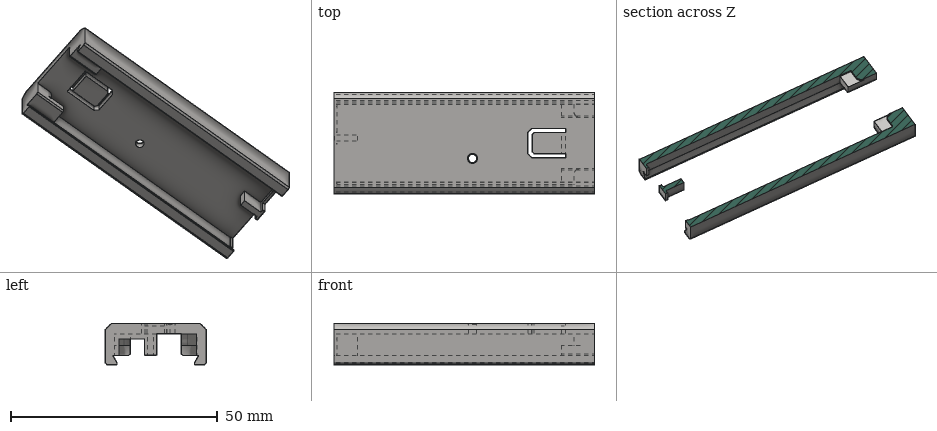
import cadquery as cq
import math

length = 63.0
width = 24.5
height = 10.0
half_width = width / 2
top_chamfer = 1.5
foot_chamfer = 0.5

roof_z = 7.5
wall = 2.25
cavity_half_width = half_width - wall
groove_undercut = 0.35
groove_half_width = cavity_half_width + groove_undercut
groove_top_z = 2.25
lip_reach = 1.0
lip_angle = 60.0
lip_tip_chamfer = 0.15
lip_tip_half_width = groove_half_width - lip_reach
lip_tip_z = groove_top_z - lip_reach * math.tan(math.radians(lip_angle))

plate_thickness = 0.7
rib_y = (-0.25, 2.75)
large_opening_y = -9.8
small_opening_y = 8.85
small_opening_roof_z = 6.2
rib_chamfer = 0.15

divider_inset = 0.75
divider_length = 5.0

block_start_x = 58.0
passage_half_width = 6.15
block_corner_radius = 1.5
rail_start_x = 55.0
rail_top_z = 4.7
rail_chamfer = 0.4

tab_root_x = 56.0
slot_start_x = 46.9
slot_half_width = 3.5
slot_width = 0.9
slot_cross_width = 1.0
slot_outer_chamfer = 0.9
slot_inner_chamfer = 0.5
hinge_length = 1.0
hinge_thickness = 0.6

hole_x = 33.5
hole_y = -3.7
hole_diameter = 2.0
hole_chamfer = 0.2


def box(x_range, y_range, z_range):
    """Axis-aligned box between the given limits."""
    size = [high - low for low, high in (x_range, y_range, z_range)]
    corner = (x_range[0], y_range[0], z_range[0])
    return cq.Workplane("XY").box(*size, centered=False).translate(corner)


def make_shell():
    """Extruded roof, side walls and lips."""
    half_outline = [
        (half_width - top_chamfer, height),
        (half_width, height - top_chamfer),
        (half_width, foot_chamfer),
        (half_width - foot_chamfer, 0),
        (lip_tip_half_width + lip_tip_chamfer, 0),
        (lip_tip_half_width, lip_tip_chamfer),
        (lip_tip_half_width, lip_tip_z),
        (groove_half_width, groove_top_z),
        (cavity_half_width, groove_top_z),
        (cavity_half_width, roof_z),
    ]
    mirrored = [(-y, z) for y, z in reversed(half_outline)]
    return cq.Workplane("YZ").polyline(half_outline + mirrored).close().extrude(length)


def make_end_plate():
    """Plate at x = 0 with the two openings and the rib between them."""
    depth = (0, plate_thickness)
    side_z = (groove_top_z, roof_z)
    large_side = box(depth, (-cavity_half_width, large_opening_y), side_z)
    small_side = box(depth, (small_opening_y, cavity_half_width), side_z)
    small_lintel = box(depth, (rib_y[1], small_opening_y), (small_opening_roof_z, roof_z))
    rib = box(depth, rib_y, side_z).faces("<Z").edges("<X or |X").chamfer(rib_chamfer)
    return large_side.union(small_side).union(small_lintel).union(rib)


def make_divider():
    """Short wall behind the rib."""
    divider_y = (rib_y[0] + divider_inset, rib_y[1] - divider_inset)
    return box((plate_thickness, plate_thickness + divider_length), divider_y, (groove_top_z, roof_z))


def make_far_side(side):
    """Half of the far end block and its rail, on the side given by the sign."""
    block = box((block_start_x, length), (passage_half_width, cavity_half_width), (rail_top_z, roof_z))
    block = block.edges("|Z and <X and <Y").fillet(block_corner_radius)
    rail = box((rail_start_x, length), (passage_half_width, cavity_half_width), (groove_top_z, rail_top_z))
    rail = rail.edges("|X and <Y and <Z").chamfer(rail_chamfer)
    both = block.union(rail)
    return both if side > 0 else both.mirror("XZ")


def make_tab_outline(start_x, half_span, corner):
    """Plate with two chamfered corners, ending at the tab root, as tall as the roof."""
    points = [
        (tab_root_x, half_span),
        (start_x + corner, half_span),
        (start_x, half_span - corner),
        (start_x, corner - half_span),
        (start_x + corner, -half_span),
        (tab_root_x, -half_span),
    ]
    return cq.Workplane("XY", origin=(0, 0, roof_z)).polyline(points).close().extrude(height - roof_z)


def make_tab_slot():
    """U-shaped slot around the tab and the groove that thins the tab root from below."""
    tab_half_width = slot_half_width - slot_width
    outer = make_tab_outline(slot_start_x, slot_half_width, slot_outer_chamfer)
    tab = make_tab_outline(slot_start_x + slot_cross_width, tab_half_width, slot_inner_chamfer)
    hinge_groove = box(
        (tab_root_x - hinge_length, tab_root_x),
        (-tab_half_width, tab_half_width),
        (roof_z, height - hinge_thickness),
    )
    return outer.cut(tab).union(hinge_groove)


def make_hole():
    """Through hole with a chamfered upper rim."""
    radius = hole_diameter / 2
    profile = [
        (0, roof_z),
        (radius, roof_z),
        (radius, height - hole_chamfer),
        (radius + hole_chamfer, height),
        (0, height),
    ]
    hole = cq.Workplane("XZ").polyline(profile).close().revolve(360, (0, 0), (0, 1))
    return hole.translate((hole_x, hole_y, 0))


cover = make_shell().union(make_end_plate()).union(make_divider())
for side in (-1, 1):
    cover = cover.union(make_far_side(side))
result = cover.cut(make_tab_slot()).cut(make_hole())